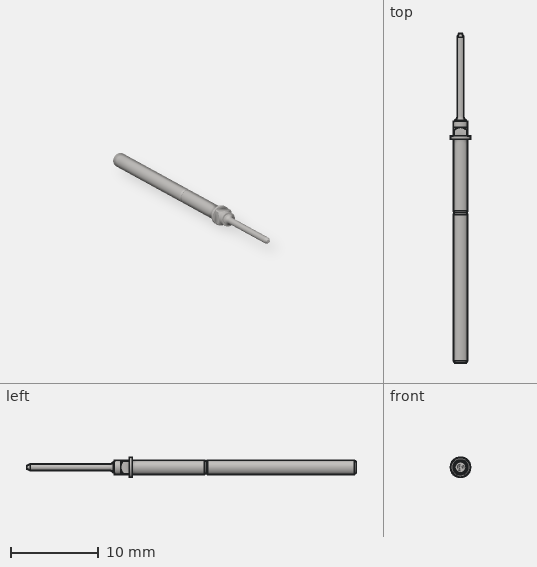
import cadquery as cq

total_length = 37.5
groove_centre = 17.1
collar_rear = 25.45
collar_front = 25.85
flats_front = 26.8
head_front = 27.52
shoulder_front = 27.65
plunger_root = 28.1

collar_diameter = 2.3
collar_radius = collar_diameter / 2
barrel_radius = 0.82
corner_radius = 1.1
plunger_radius = 0.38
shoulder_radius = 0.65

rear_chamfer_length = 0.25
rear_chamfer_depth = 0.2
tip_radius = 0.2
tip_length = 0.4
groove_width = 0.45
groove_depth = 0.1


def turned_profile():
    """Half outline in the XY plane, X being the radius and Y the axis."""
    corner_rise = corner_radius - barrel_radius
    return (
        cq.Workplane("XY")
        .moveTo(0, total_length)
        .lineTo(tip_radius, total_length)
        .lineTo(plunger_radius, total_length - tip_length)
        .lineTo(plunger_radius, plunger_root)
        .tangentArcPoint((shoulder_radius, shoulder_front), relative=False)
        .lineTo(shoulder_radius, head_front)
        .lineTo(barrel_radius, head_front)
        .lineTo(barrel_radius, flats_front)
        .lineTo(corner_radius, flats_front - corner_rise)
        .lineTo(corner_radius, collar_front)
        .lineTo(collar_radius, collar_front)
        .lineTo(collar_radius, collar_rear)
        .lineTo(barrel_radius, collar_rear)
        .lineTo(barrel_radius, groove_centre + groove_width / 2)
        .lineTo(barrel_radius - groove_depth, groove_centre)
        .lineTo(barrel_radius, groove_centre - groove_width / 2)
        .lineTo(barrel_radius, rear_chamfer_length)
        .lineTo(barrel_radius - rear_chamfer_depth, 0)
        .lineTo(0, 0)
        .close()
    )


def square_cutter():
    """Square ring that leaves four flats between the collar and the head."""
    flats_length = flats_front - collar_front
    across_flats = 2 * barrel_radius
    cutter_width = 2 * collar_diameter
    return (
        cq.Workplane("XZ", origin=(0, flats_front, 0))
        .rect(cutter_width, cutter_width)
        .rect(across_flats, across_flats)
        .extrude(flats_length)
    )


turned_body = turned_profile().revolve(360, (0, 0, 0), (0, 1, 0))
result = turned_body.cut(square_cutter())